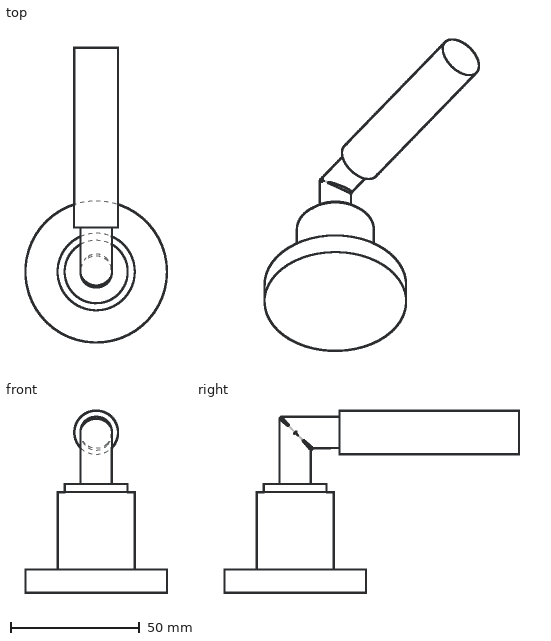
import cadquery as cq
import math

flange_diameter = 55.0
flange_thickness = 9.0

sleeve_diameter = 30.0
sleeve_height = 30.0
cap_diameter = 24.5
cap_height = 3.2

total_length = 114.4
total_height = 70.7
stem_diameter = 12.2
grip_diameter = 17.0
grip_length = 69.8
elbow_bevel = 0.8

sleeve_top = flange_thickness + sleeve_height
stem_radius = stem_diameter / 2
cap_top = sleeve_top + cap_height
lever_axis_height = total_height - grip_diameter / 2
grip_end = total_length - flange_diameter / 2
grip_start = grip_end - grip_length

elbow_plane = cq.Plane(origin=(0, 0, lever_axis_height), xDir=(1, 0, 0), normal=(0, 1, 1))


def disc(diameter, bottom, height):
    """Upright cylinder on the Z axis."""
    return cq.Workplane("XY", origin=(0, 0, bottom)).circle(diameter / 2).extrude(height)


def make_flange():
    return disc(flange_diameter, 0, flange_thickness)


def make_sleeve():
    barrel = disc(sleeve_diameter, flange_thickness, sleeve_height)
    cap = disc(cap_diameter, sleeve_top, cap_height)
    return barrel.union(cap)


def half_oblique_prism(side, reach, width):
    """Half of an elliptic prism through the elbow: side -1 is its outer half, +1 its inner half."""
    ellipse = cq.Workplane(elbow_plane).ellipse(stem_radius, reach).extrude(width / 2, both=True)
    return ellipse.intersect(half_block(side, width))


def half_block(side, width):
    """Block covering everything around the elbow on one side of the bend axis."""
    size = 4 * stem_diameter
    outline = cq.Workplane(elbow_plane).center(0, side * size / 2).rect(size, size)
    return outline.extrude(width / 2, both=True)


def make_bent_rod():
    """Round rod that rises from the cap and turns to +Y, its mitre beveled outside and filled inside."""
    path = (
        cq.Workplane("YZ")
        .moveTo(0, cap_top)
        .lineTo(0, lever_axis_height)
        .lineTo(grip_start, lever_axis_height)
    )
    section = cq.Workplane("XY", origin=(0, 0, cap_top)).circle(stem_radius)
    rod = section.sweep(path, transition="right")

    outer_reach = math.sqrt(2) * (stem_radius - elbow_bevel / 2)
    inner_reach = math.sqrt(2) * (stem_radius + elbow_bevel / 2)
    cut_width = 2 * stem_diameter
    outer_waste = half_block(-1, cut_width).cut(half_oblique_prism(-1, outer_reach, cut_width))
    inner_fill = half_oblique_prism(1, inner_reach, math.sqrt(2) * elbow_bevel)
    return rod.cut(outer_waste).union(inner_fill)


def make_lever():
    grip = (
        cq.Workplane("XZ", origin=(0, grip_start, lever_axis_height))
        .circle(grip_diameter / 2)
        .extrude(-grip_length)
    )
    return make_bent_rod().union(grip)


flange = make_flange()
sleeve = make_sleeve()
lever = make_lever()

result = cq.Compound.makeCompound([flange.val(), sleeve.val(), lever.val()])